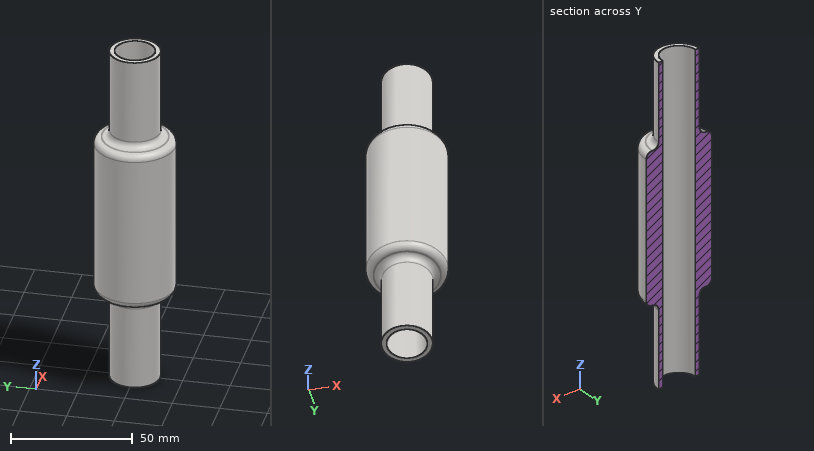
import cadquery as cq

total_length = 152.0
pipe_diameter = 21.3
bore_diameter = 16.7

body_diameter = 34.0
body_length = 72.0

rim_radius = 3.0
root_radius = 3.0

half_length = total_length / 2
half_body = body_length / 2
pipe_radius = pipe_diameter / 2
bore_radius = bore_diameter / 2
body_radius = body_diameter / 2

wall_section = (
    cq.Workplane("XZ")
    .moveTo(bore_radius, -half_length)
    .lineTo(pipe_radius, -half_length)
    .lineTo(pipe_radius, -half_body - root_radius)
    .radiusArc((pipe_radius + root_radius, -half_body), root_radius)
    .lineTo(body_radius - rim_radius, -half_body)
    .radiusArc((body_radius, -half_body + rim_radius), -rim_radius)
    .lineTo(body_radius, half_body - rim_radius)
    .radiusArc((body_radius - rim_radius, half_body), -rim_radius)
    .lineTo(pipe_radius + root_radius, half_body)
    .radiusArc((pipe_radius, half_body + root_radius), root_radius)
    .lineTo(pipe_radius, half_length)
    .lineTo(bore_radius, half_length)
    .close()
)

result = wall_section.revolve(360, (0, 0), (0, 1))